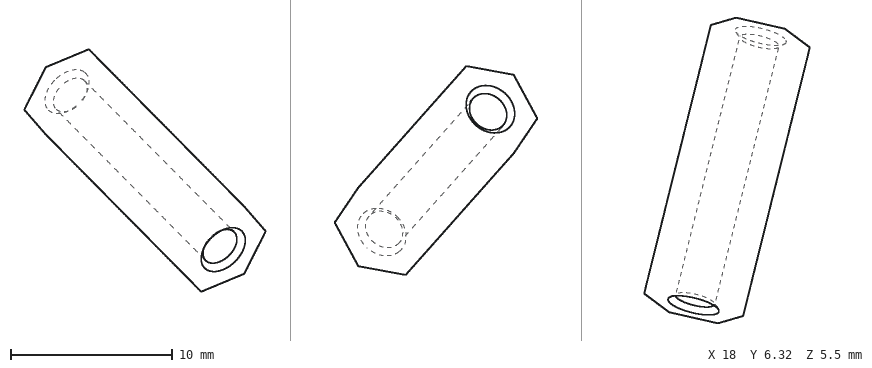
import cadquery as cq
import math

length = 18.0
across_flats = 5.5
edge_radius = 0.1
bore_diameter = 2.5
countersink_diameter = 3.25
countersink_angle = 90.0

across_corners = across_flats / math.cos(math.radians(30))


def hex_body():
    """Hexagonal bar with flats facing +Z and -Z and all outer edges rounded."""
    bar = cq.Workplane("YZ").polygon(6, across_corners).extrude(length / 2, both=True)
    return bar.edges().fillet(edge_radius)


def add_countersunk_bore(body):
    """Drill through along X and countersink both ends."""
    body = body.faces(">X").workplane(origin=(0, 0, 0)).cskHole(
        bore_diameter, countersink_diameter, countersink_angle
    )
    return body.faces("<X").workplane(origin=(0, 0, 0)).cskHole(
        bore_diameter, countersink_diameter, countersink_angle
    )


result = add_countersunk_bore(hex_body())